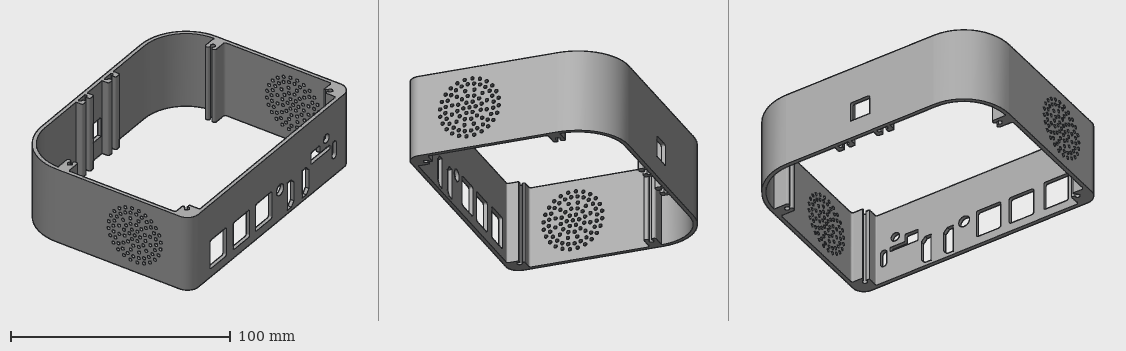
import cadquery as cq
import math

SIZE_X = 99.2
SIZE_Y = 130.0
SIZE_Z = 40.0
WALL = 2.0
LARGE_CORNER_R = 24.8
SMALL_CORNER_R = 6.1

X_OUT = SIZE_X / 2
Y_OUT = SIZE_Y / 2
X_IN = X_OUT - WALL
Y_IN = Y_OUT - WALL
CUT_DEPTH = 3 * WALL

SCREW_D = 2.3
SCREW_Y = 57.8
SIDE_POST_X = -22.0
SIDE_POST_W = 5.8
SIDE_POST_TIP_Y = 55.4
SIDE_POST_SLOT_W = 1.3
TIP_ROUND = 1.0

CORNER_SCREW_X = 42.6
CORNER_POST_X = 39.8
CORNER_POST_Y = 55.0
NOTCH_X = 42.0
NOTCH_Y = 57.2
NOTCH_BEVEL = 0.8

Y_WALL_ROOT_R = 1.0
X_WALL_ROOT_R = 0.6

RAIL_Y = 10.5
RAIL_REACH = 3.6
HOOK_OUTER = 4.5
HOOK_INNER = 2.7
LIP_INNER = 1.3
LIP_THICKNESS = 2.2
HOOK_ROUND = 0.8

GRILLE_X = 18.6
GRILLE_HOLE_D = 1.5
GRILLE_RINGS = [
    (3.0, 6, 0),
    (6.0, 12, 22),
    (8.8, 12, 16),
    (11.8, 24, 11),
    (14.4, 24, 5.8),
]

OPENING_R = 1.0

WINDOW_SIZE = 10.4
WINDOW_Z = -5.0

PORT_W = 13.3
PORT_Z_BOTTOM = -15.5
PORTS = [(-6.1, -0.6), (-24.0, -0.6), (-42.9, 0.1)]

PLUG_CENTERS_Y = [27.8, 15.7]
PLUG_Z = -10.7
PLUG_W = 5.2
PLUG_H = 15.0
PLUG_TAPER_Y = 2.1
PLUG_TAPER_Z = 2.3

ROUND_HOLES = [(44.6, 3.6, 4.5), (7.2, -3.5, 5.8)]

SLOT_Y = 51.0
SLOT_Z = -6.1
SLOT_W = 3.4
SLOT_LENGTH = 9.4

STEP_Y_LOW = 32.2
STEP_Y_MID = 39.3
STEP_Y_HIGH = 47.5
STEP_Z_BOTTOM = -3.6
STEP_Z_LEDGE = -1.4
STEP_Z_TOP = 2.7
STEP_R = 0.6


def upright(sketch):
    """Extrude an XY outline over the full height, centred on Z = 0."""
    return sketch.extrude(SIZE_Z / 2, both=True)


def box_between(x0, x1, y0, y1):
    """Full-height block between two X and two Y positions."""
    block = cq.Workplane("XY").rect(x1 - x0, y1 - y0)
    return upright(block).translate(((x0 + x1) / 2, (y0 + y1) / 2, 0))


def both_ends(solid):
    """The solid together with its mirror image across Y = 0."""
    return solid.union(solid.mirror("XZ"))


def make_frame():
    outer = box_between(-X_OUT, X_OUT, -Y_OUT, Y_OUT)
    outer = outer.edges("|Z and <X").fillet(LARGE_CORNER_R)
    outer = outer.edges("|Z and >X").fillet(SMALL_CORNER_R)
    inner = box_between(-X_IN, X_IN, -Y_IN, Y_IN)
    inner = inner.edges("|Z and <X").fillet(LARGE_CORNER_R - WALL)
    return outer.cut(inner)


def screw_hole(x):
    return upright(cq.Workplane("XY").center(x, SCREW_Y).circle(SCREW_D / 2))


def root_fillet(x, y, side, radius):
    """Fill for a concave corner at (x, y) below a surface; side is +1 or -1 along X."""
    x_far = x + side * radius
    block = box_between(min(x, x_far), max(x, x_far), y - radius, y)
    return block.cut(upright(cq.Workplane("XY").center(x_far, y - radius).circle(radius)))


def make_side_post():
    """Post on the Y wall whose screw channel opens inward through a narrow slot."""
    half_w = SIDE_POST_W / 2
    half_slot = SIDE_POST_SLOT_W / 2
    y_mid = (Y_OUT + Y_IN) / 2
    post = box_between(SIDE_POST_X - half_w, SIDE_POST_X + half_w, SIDE_POST_TIP_Y, y_mid)
    post = post.cut(box_between(SIDE_POST_X - half_slot, SIDE_POST_X + half_slot, SIDE_POST_TIP_Y, SCREW_Y))
    post = post.faces("<Y").edges("|Z").fillet(TIP_ROUND)
    post = post.cut(screw_hole(SIDE_POST_X))
    return post.union(root_fillet(SIDE_POST_X + half_w, Y_IN, 1, Y_WALL_ROOT_R))


def make_corner_post():
    """Corner block whose inner corner is notched open into the screw channel."""
    post = box_between(CORNER_POST_X, X_OUT, CORNER_POST_Y, Y_OUT)
    post = post.edges("|Z and >X and >Y").fillet(SMALL_CORNER_R)
    notch = (
        cq.Workplane("XY")
        .moveTo(CORNER_POST_X, CORNER_POST_Y)
        .lineTo(NOTCH_X, CORNER_POST_Y)
        .lineTo(NOTCH_X, NOTCH_Y + NOTCH_BEVEL)
        .lineTo(CORNER_POST_X + 2 * NOTCH_BEVEL, NOTCH_Y + NOTCH_BEVEL)
        .lineTo(CORNER_POST_X + NOTCH_BEVEL, NOTCH_Y)
        .lineTo(CORNER_POST_X, NOTCH_Y)
        .close()
    )
    post = post.cut(upright(notch))
    post = post.cut(screw_hole(CORNER_SCREW_X))
    post = post.union(root_fillet(CORNER_POST_X, Y_IN, -1, Y_WALL_ROOT_R))
    return post.union(root_fillet(X_IN, CORNER_POST_Y, -1, X_WALL_ROOT_R))


def make_rail():
    """Two facing hooks that form a T-shaped channel along Z."""
    x_wall = -X_OUT + WALL / 2
    x_tip = -X_IN + RAIL_REACH
    x_lip = x_tip - LIP_THICKNESS
    bar = box_between(x_wall, x_tip, LIP_INNER, HOOK_OUTER)
    bar = bar.edges("|Z and >X").fillet(HOOK_ROUND)
    pocket = box_between(-X_IN, x_lip, 0, HOOK_INNER)
    pocket = pocket.edges("|Z and >X and >Y").fillet(HOOK_ROUND)
    return both_ends(bar.cut(pocket)).translate((0, RAIL_Y, 0))


def make_grille():
    """Pins of concentric hole rings, long enough to pierce both Y walls."""
    points = [(0, 0)]
    for radius, count, first_angle in GRILLE_RINGS:
        for i in range(count):
            angle = math.radians(first_angle + 360 * i / count)
            points.append((radius * math.cos(angle), radius * math.sin(angle)))
    plane = cq.Workplane("XZ").center(GRILLE_X, 0)
    return plane.pushPoints(points).circle(GRILLE_HOLE_D / 2).extrude(SIZE_Y, both=True)


def wall_plane(x):
    """Sketch plane across an X wall, with local axes along Y and Z."""
    return cq.Workplane("YZ", origin=(x, 0, 0))


def through_wall(sketch):
    return sketch.extrude(CUT_DEPTH / 2, both=True)


def make_window():
    window = through_wall(wall_plane(-X_OUT).center(0, WINDOW_Z).rect(WINDOW_SIZE, WINDOW_SIZE))
    return window.edges("|X and >Z").fillet(OPENING_R)


def make_port(y, z_top):
    height = z_top - PORT_Z_BOTTOM
    port = through_wall(wall_plane(X_OUT).center(y, z_top - height / 2).rect(PORT_W, height))
    return port.edges("|X").fillet(OPENING_R)


def make_plug_opening(y):
    """Upright opening that narrows toward +Y at both its top and its bottom."""
    half_w = PLUG_W / 2
    half_h = PLUG_H / 2
    return through_wall(
        wall_plane(X_OUT)
        .center(y, PLUG_Z)
        .moveTo(-half_w, -half_h)
        .lineTo(half_w - PLUG_TAPER_Y, -half_h)
        .lineTo(half_w, -half_h + PLUG_TAPER_Z)
        .lineTo(half_w, half_h - PLUG_TAPER_Z)
        .lineTo(half_w - PLUG_TAPER_Y, half_h)
        .lineTo(-half_w, half_h)
        .close()
    )


def make_stepped_opening():
    opening = through_wall(
        wall_plane(X_OUT)
        .moveTo(STEP_Y_LOW, STEP_Z_BOTTOM)
        .lineTo(STEP_Y_HIGH, STEP_Z_BOTTOM)
        .lineTo(STEP_Y_HIGH, STEP_Z_LEDGE)
        .lineTo(STEP_Y_MID, STEP_Z_LEDGE)
        .lineTo(STEP_Y_MID, STEP_Z_TOP)
        .lineTo(STEP_Y_LOW, STEP_Z_TOP)
        .close()
    )
    return opening.edges("|X").fillet(STEP_R)


result = make_frame()
result = result.union(both_ends(make_side_post()))
result = result.union(both_ends(make_corner_post()))
result = result.union(both_ends(make_rail()))

result = result.cut(make_grille())
result = result.cut(make_window())
for port_y, port_top in PORTS:
    result = result.cut(make_port(port_y, port_top))
for plug_y in PLUG_CENTERS_Y:
    result = result.cut(make_plug_opening(plug_y))
for hole_y, hole_z, hole_d in ROUND_HOLES:
    result = result.cut(through_wall(wall_plane(X_OUT).center(hole_y, hole_z).circle(hole_d / 2)))
result = result.cut(through_wall(wall_plane(X_OUT).center(SLOT_Y, SLOT_Z).slot2D(SLOT_LENGTH, SLOT_W, 90)))
result = result.cut(make_stepped_opening())